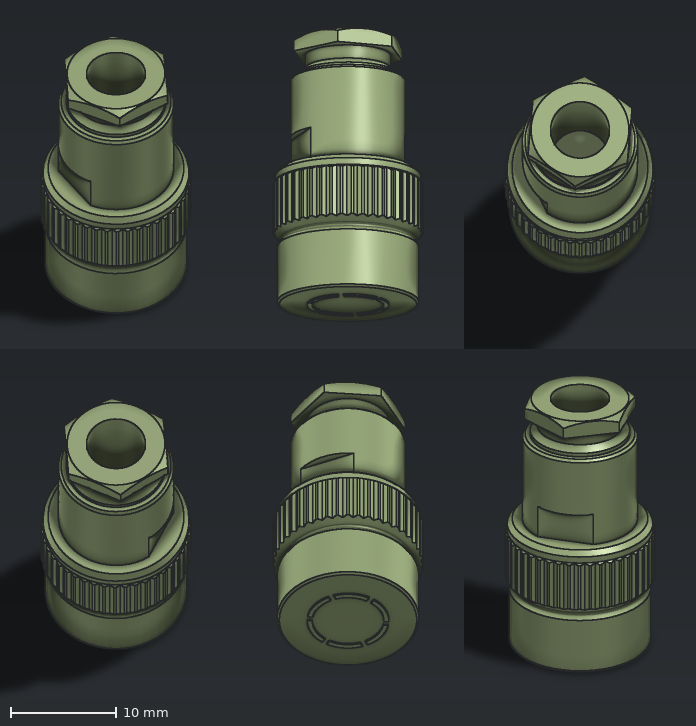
import cadquery as cq
import math

total_height = 26.15

nut_across_flats = 9.5
nut_flat_radius = nut_across_flats / 2
nut_height = 1.57
nut_top_radius = 4.65
nut_chamfer_angle = 30.0
bore_radius = 2.8
bore_depth = 10.0

neck_radius = 4.08
neck_bottom_z = 23.3
collar_radius = nut_flat_radius
collar_cone_bottom_z = 22.72
sleeve_radius = 5.5
sleeve_top_z = 22.35
sleeve_chamfer = 0.25
wrench_flat_distance = nut_flat_radius
wrench_flat_top_z = 16.45

ring_radius = 6.95
ring_top_z = 13.23
ring_chamfer = 0.5
knurl_diameter = 14.3
knurl_radius = knurl_diameter / 2
knurl_valley_radius = 6.98
knurl_tooth_count = 44
knurl_tooth_width = 0.24
knurl_top_z = 12.08

cone_foot_radius = 6.55
groove_radius = 6.4
groove_edge_radius = 6.43
groove_top_z = 6.6
groove_bottom_z = 6.2
skirt_radius = 6.75
skirt_top_z = 5.78
skirt_bottom_z = 0.15
skirt_chamfer = 0.2

rim_outer_radius = 3.9
rim_inner_radius = 3.4
rim_slot_width = 0.52
rim_slot_angles = (30.0, 90.0, 150.0)


def revolve_half_profile(profile):
    """Turn a closed XZ half profile around the Z axis."""
    return profile.close().revolve(360, (0, 0, 0), (0, 1, 0))


def make_turned_body():
    """Skirt, groove, coupling ring, sleeve and neck as one turned solid."""
    profile = (
        cq.Workplane("XZ")
        .moveTo(0, skirt_bottom_z)
        .lineTo(skirt_radius - skirt_chamfer, skirt_bottom_z)
        .lineTo(skirt_radius, skirt_bottom_z + skirt_chamfer)
        .lineTo(skirt_radius, skirt_top_z)
        .lineTo(groove_edge_radius, groove_bottom_z)
        .threePointArc(
            (groove_radius, (groove_bottom_z + groove_top_z) / 2),
            (cone_foot_radius, groove_top_z),
        )
        .lineTo(ring_radius, groove_top_z + ring_radius - cone_foot_radius)
        .lineTo(ring_radius, ring_top_z - ring_chamfer)
        .lineTo(ring_radius - ring_chamfer, ring_top_z)
        .lineTo(sleeve_radius, ring_top_z)
        .lineTo(sleeve_radius, sleeve_top_z - sleeve_chamfer)
        .lineTo(sleeve_radius - sleeve_chamfer, sleeve_top_z)
        .lineTo(collar_radius, sleeve_top_z)
        .lineTo(collar_radius, collar_cone_bottom_z)
        .lineTo(neck_radius, neck_bottom_z)
        .lineTo(neck_radius, total_height - nut_height)
        .lineTo(0, total_height - nut_height)
    )
    return revolve_half_profile(profile)


def make_knurl():
    """Toothed band whose ends are bevelled at 45 degrees."""
    pitch = 2 * math.pi / knurl_tooth_count
    half_tooth = math.atan(knurl_tooth_width / 2 / knurl_radius)
    crest_radius = knurl_radius / math.cos(half_tooth)
    outline = []
    for tooth in range(knurl_tooth_count):
        angle = tooth * pitch
        for radius, offset in (
            (crest_radius, -half_tooth),
            (crest_radius, half_tooth),
            (knurl_valley_radius, pitch / 2),
        ):
            outline.append((radius * math.cos(angle + offset), radius * math.sin(angle + offset)))
    teeth = (
        cq.Workplane("XY")
        .workplane(offset=groove_top_z)
        .polyline(outline)
        .close()
        .extrude(knurl_top_z - groove_top_z)
    )
    top_bevel = crest_radius - ring_radius
    bottom_cone_height = crest_radius - cone_foot_radius
    envelope = (
        cq.Workplane("XZ")
        .moveTo(0, groove_top_z)
        .lineTo(cone_foot_radius, groove_top_z)
        .lineTo(crest_radius, groove_top_z + bottom_cone_height)
        .lineTo(crest_radius, knurl_top_z - top_bevel)
        .lineTo(ring_radius, knurl_top_z)
        .lineTo(0, knurl_top_z)
    )
    return teeth.intersect(revolve_half_profile(envelope))


def make_nut():
    """Hexagon with two flats facing +X and -X, corners chamfered on top."""
    corner_radius = nut_flat_radius / math.cos(math.pi / 6)
    nut_bottom_z = total_height - nut_height
    hexagon = (
        cq.Workplane("XY")
        .workplane(offset=nut_bottom_z)
        .polygon(6, 2 * corner_radius)
        .extrude(nut_height)
        .rotate((0, 0, 0), (0, 0, 1), 30)
    )
    corner_drop = (corner_radius - nut_top_radius) * math.tan(math.radians(nut_chamfer_angle))
    envelope = (
        cq.Workplane("XZ")
        .moveTo(0, nut_bottom_z)
        .lineTo(corner_radius, nut_bottom_z)
        .lineTo(corner_radius, total_height - corner_drop)
        .lineTo(nut_top_radius, total_height)
        .lineTo(0, total_height)
    )
    return hexagon.intersect(revolve_half_profile(envelope))


def make_rim():
    """Thin rim at the bottom face, split into six arcs by three slots."""
    rim = cq.Workplane("XY").circle(rim_outer_radius).circle(rim_inner_radius).extrude(skirt_bottom_z)
    for angle in rim_slot_angles:
        slot = (
            cq.Workplane("XY")
            .rect(2 * skirt_radius, rim_slot_width)
            .extrude(skirt_bottom_z)
            .rotate((0, 0, 0), (0, 0, 1), angle)
        )
        rim = rim.cut(slot)
    return rim


def make_wrench_flats():
    """Material removed on the +Y and -Y sides of the sleeve."""
    cut_depth = sleeve_radius - wrench_flat_distance
    cut_centre = wrench_flat_distance + cut_depth / 2
    return (
        cq.Workplane("XY")
        .workplane(offset=ring_top_z)
        .pushPoints([(0, cut_centre), (0, -cut_centre)])
        .rect(2 * sleeve_radius, cut_depth)
        .extrude(wrench_flat_top_z - ring_top_z)
    )


def make_bore():
    """Blind cable entry from the top of the nut."""
    return cq.Workplane("XY").workplane(offset=total_height).circle(bore_radius).extrude(-bore_depth)


body = make_turned_body().cut(make_wrench_flats())
result = body.union(make_knurl()).union(make_nut()).union(make_rim()).cut(make_bore())